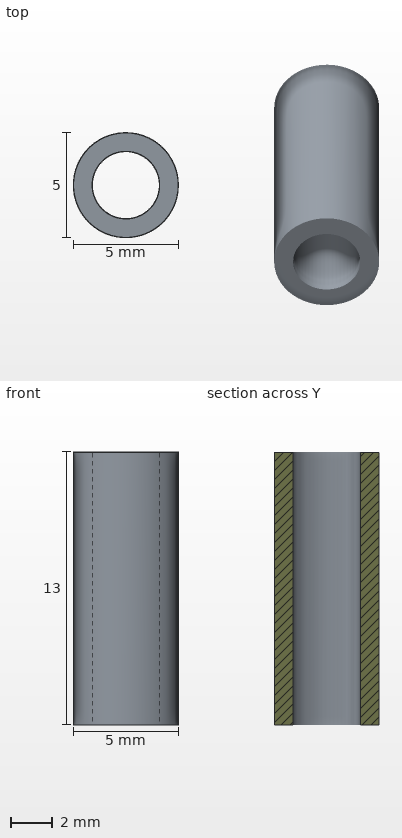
import cadquery as cq

length = 13.0
outer_diameter = 5.0
bore_diameter = 3.2

result = (
    cq.Workplane("XY")
    .circle(outer_diameter / 2)
    .circle(bore_diameter / 2)
    .extrude(length)
)